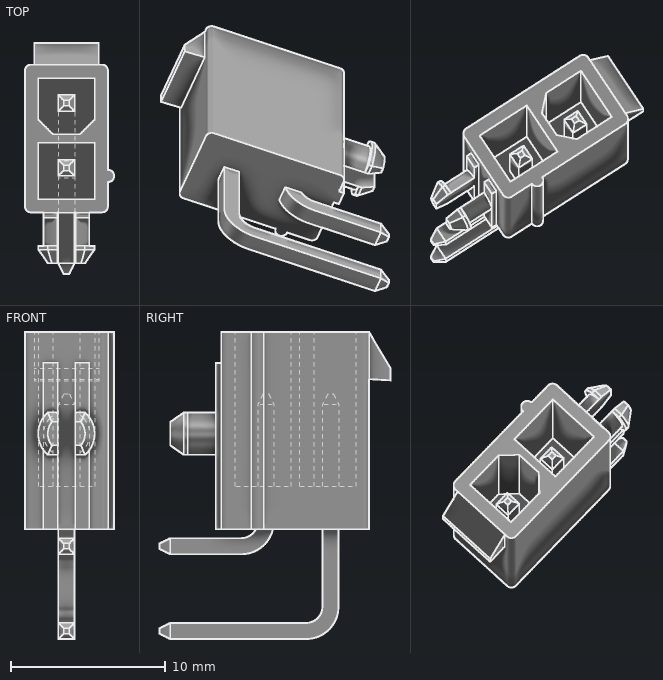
import cadquery as cq
import math


BODY_WIDTH = 5.4
BODY_DEPTH = 9.6
BODY_HEIGHT = 12.8
BODY_CORNER_RADIUS = 0.4

PITCH = 4.2
CAVITY_SIZE = 3.65
CAVITY_DEPTH = 10.0
KEY_CHAMFER = 0.95
FRONT_CAVITY_Y = (BODY_DEPTH - PITCH) / 2
REAR_CAVITY_Y = FRONT_CAVITY_Y + PITCH

LATCH_WIDTH = 4.2
LATCH_REACH = 1.4
LATCH_RAMP_DROP = 2.35
LATCH_INNER_DROP = 3.07
LATCH_OUTER_DROP = 3.15

SIDE_RIB_RADIUS = 0.4
SIDE_RIB_Y = 2.37

STANDOFF_WIDTH = 0.92
STANDOFF_REACH = 0.35
STANDOFF_TOP_DROP = 2.0
STANDOFF_HEIGHT = BODY_HEIGHT - STANDOFF_TOP_DROP
SLOT_WIDTH = 1.15

PEG_DROP = 6.6
PEG_Z = BODY_HEIGHT - PEG_DROP
PEG_NECK_RADIUS = STANDOFF_WIDTH + SLOT_WIDTH / 2
PEG_HEAD_RADIUS = 1.83
PEG_TIP_RADIUS = 1.21
PEG_HALF_HEIGHT = 1.38
PEG_TIP_HALF_HEIGHT = PEG_HALF_HEIGHT - (PEG_HEAD_RADIUS - PEG_TIP_RADIUS)
PEG_HEAD_START = 2.17
PEG_TAPER_START = 2.41
PEG_LENGTH = 3.3

PIN_SIZE = 1.06
PIN_BEND_RADIUS = PIN_SIZE + PIN_SIZE / 2
PIN_TIP_SIZE = 0.36
PIN_TIP_LENGTH = 0.7
PIN_REACH = 4.0
PIN_RECESS = 4.0
PIN_TOP_Z = BODY_HEIGHT - PIN_RECESS
FRONT_PIN_Y = 2.9
FRONT_PIN_DROP = 1.1
ROW_SPACING = 5.5
ROW_COUNT = 2


def make_body():
    """Plain housing block with rounded vertical edges."""
    block = cq.Workplane("XY").box(BODY_WIDTH, BODY_DEPTH, BODY_HEIGHT, centered=(True, False, False))
    return block.edges("|Z").fillet(BODY_CORNER_RADIUS)


def make_cavity(center_y, keyed):
    """Blind contact cavity, with its two -Y corners cut off when keyed."""
    cavity = (
        cq.Workplane("XY", origin=(0, center_y, BODY_HEIGHT - CAVITY_DEPTH))
        .rect(CAVITY_SIZE, CAVITY_SIZE)
        .extrude(CAVITY_DEPTH)
    )
    if keyed:
        cavity = cavity.edges("|Z and <Y").chamfer(KEY_CHAMFER)
    return cavity


def make_latch():
    """Latch ramp, rooted at the rear face and flush with the top."""
    return (
        cq.Workplane("YZ", origin=(0, BODY_DEPTH, BODY_HEIGHT))
        .polyline([
            (0, 0),
            (LATCH_REACH, -LATCH_RAMP_DROP),
            (LATCH_REACH, -LATCH_OUTER_DROP),
            (0, -LATCH_INNER_DROP),
        ])
        .close()
        .extrude(LATCH_WIDTH / 2, both=True)
    )


def make_side_rib():
    """Full-height round rib, half sunk into the +X face."""
    return (
        cq.Workplane("XY", origin=(BODY_WIDTH / 2, SIDE_RIB_Y, 0))
        .circle(SIDE_RIB_RADIUS)
        .extrude(BODY_HEIGHT)
    )


def make_standoffs():
    """Two upright ribs, one on each side of the central slot."""
    rib_x = (SLOT_WIDTH + STANDOFF_WIDTH) / 2
    return (
        cq.Workplane("XY")
        .pushPoints([(-rib_x, -STANDOFF_REACH / 2), (rib_x, -STANDOFF_REACH / 2)])
        .rect(STANDOFF_WIDTH, STANDOFF_REACH)
        .extrude(STANDOFF_HEIGHT)
    )


def make_peg():
    """Split peg on the two ribs: a turned profile, flattened above and below and slotted."""
    turned = (
        cq.Workplane("XY", origin=(0, 0, PEG_Z))
        .polyline([
            (0, -STANDOFF_REACH),
            (PEG_NECK_RADIUS, -STANDOFF_REACH),
            (PEG_NECK_RADIUS, -PEG_HEAD_START),
            (PEG_HEAD_RADIUS, -PEG_HEAD_START),
            (PEG_HEAD_RADIUS, -PEG_TAPER_START),
            (PEG_TIP_RADIUS, -PEG_LENGTH),
            (0, -PEG_LENGTH),
        ])
        .close()
        .revolve(360, (0, 0, 0), (0, 1, 0))
    )
    flat_envelope = (
        cq.Workplane("YZ", origin=(0, 0, PEG_Z))
        .polyline([
            (0, PEG_HALF_HEIGHT),
            (-PEG_TAPER_START, PEG_HALF_HEIGHT),
            (-PEG_LENGTH, PEG_TIP_HALF_HEIGHT),
            (-PEG_LENGTH, -PEG_TIP_HALF_HEIGHT),
            (-PEG_TAPER_START, -PEG_HALF_HEIGHT),
            (0, -PEG_HALF_HEIGHT),
        ])
        .close()
        .extrude(PEG_HEAD_RADIUS, both=True)
    )
    slot = cq.Workplane("XY", origin=(0, -PEG_LENGTH / 2, PEG_Z)).box(
        SLOT_WIDTH, PEG_LENGTH, 2 * PEG_HALF_HEIGHT
    )
    return turned.intersect(flat_envelope).cut(slot)


def make_pin_tip(base_plane):
    """Blunt pyramid on the end of a pin, growing along the plane normal."""
    return (
        cq.Workplane(base_plane)
        .rect(PIN_SIZE, PIN_SIZE)
        .workplane(offset=PIN_TIP_LENGTH)
        .rect(PIN_TIP_SIZE, PIN_TIP_SIZE)
        .loft(ruled=True)
    )


def make_pin(pin_y, drop):
    """Square pin running down from the cavity, bent once towards -Y."""
    upper_end_z = PIN_TOP_Z - PIN_TIP_LENGTH
    outer_end_y = -(PIN_REACH - PIN_TIP_LENGTH)
    bend_offset = PIN_BEND_RADIUS * (1 - math.cos(math.radians(45)))
    path = (
        cq.Workplane("YZ")
        .moveTo(pin_y, upper_end_z)
        .lineTo(pin_y, -drop + PIN_BEND_RADIUS)
        .threePointArc((pin_y - bend_offset, -drop + bend_offset), (pin_y - PIN_BEND_RADIUS, -drop))
        .lineTo(outer_end_y, -drop)
    )
    shank = cq.Workplane("XY", origin=(0, pin_y, upper_end_z)).rect(PIN_SIZE, PIN_SIZE).sweep(path)
    upper_tip = make_pin_tip(cq.Plane((0, pin_y, upper_end_z), xDir=(1, 0, 0), normal=(0, 0, 1)))
    outer_tip = make_pin_tip(cq.Plane((0, outer_end_y, -drop), xDir=(1, 0, 0), normal=(0, -1, 0)))
    return shank.union(upper_tip).union(outer_tip)


def make_header():
    """Housing with its cavities, outer features and both pins."""
    header = make_body()
    for feature in (make_latch(), make_side_rib(), make_standoffs(), make_peg()):
        header = header.union(feature)
    header = header.cut(make_cavity(FRONT_CAVITY_Y, keyed=False))
    header = header.cut(make_cavity(REAR_CAVITY_Y, keyed=True))
    for row in range(ROW_COUNT):
        pin = make_pin(FRONT_PIN_Y + row * PITCH, FRONT_PIN_DROP + row * ROW_SPACING)
        header = header.union(pin)
    return header


result = make_header()